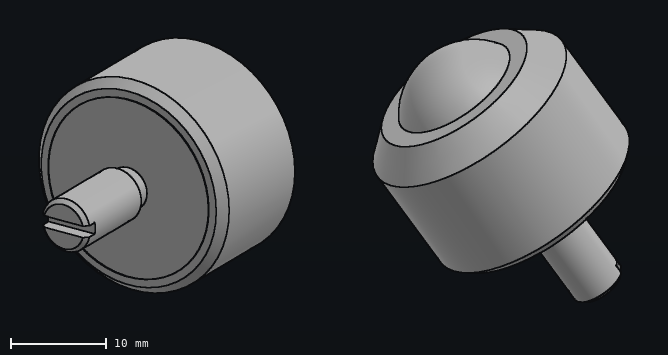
import cadquery as cq

total_length = 32.47

body_radius = 11.998
body_length = 16.27
crown_chamfer = 3.0
base_chamfer = 0.97

base_disc_radius = 10.1
base_disc_height = 0.1

ball_radius = 7.9
ball_protrusion = 4.03

neck_radius = 2.37
neck_length = 2.0
stud_radius = 3.005
stud_chamfer = 0.5

slot_width = 1.3
slot_depth = 1.5

body_top = total_length - ball_protrusion
body_base = body_top - body_length
disc_face = body_base - base_disc_height
neck_start = disc_face - neck_length


def make_cylinder(radius, start, end):
    """Cylinder about the Y axis between two axial stations."""
    plane = cq.Workplane("XZ", origin=(0, end, 0))
    return plane.circle(radius).extrude(end - start)


def make_body():
    body = make_cylinder(body_radius, body_base, body_top)
    body = body.faces(">Y").chamfer(crown_chamfer)
    body = body.faces("<Y").chamfer(base_chamfer)
    disc = make_cylinder(base_disc_radius, disc_face, body_base)
    return body.union(disc)


def make_ball():
    return cq.Workplane("XY").sphere(ball_radius).translate((0, total_length - ball_radius, 0))


def make_stud():
    neck = make_cylinder(neck_radius, neck_start, disc_face)
    shank = make_cylinder(stud_radius, 0, neck_start).faces("<Y").chamfer(stud_chamfer)
    slot = cq.Workplane("XY").box(2 * stud_radius, slot_depth, slot_width)
    slot = slot.translate((0, slot_depth / 2, 0))
    return neck.union(shank).cut(slot)


result = make_body().union(make_ball()).union(make_stud())